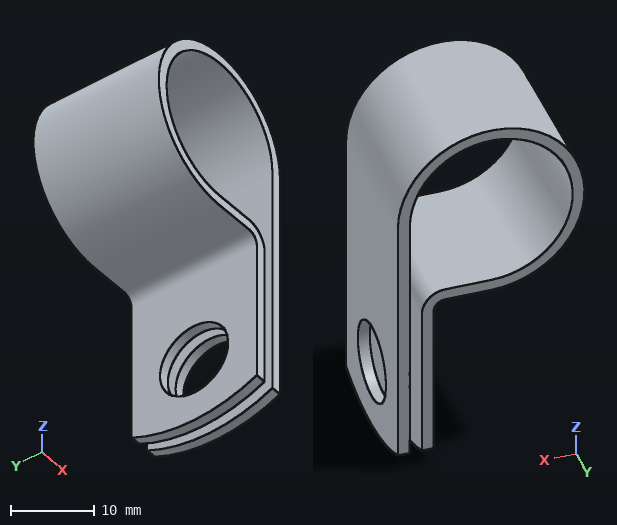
import cadquery as cq
import math

height = 47.55
width = 19.05
loop_diameter = 23.7
thickness = 1.5

leg_gap = 1.5
bend_inner_radius = 1.47
hole_diameter = 10.3
hole_height = 9.5
end_rise = 2.15

loop_radius = loop_diameter / 2
bore_radius = loop_radius - thickness
bottom = loop_radius - height
front_leg_right = bore_radius - leg_gap
front_leg_left = front_leg_right - thickness
bend_outer_radius = bend_inner_radius + thickness
bend_x = front_leg_right - bend_outer_radius
bend_z = -bore_radius - bend_outer_radius
diagonal = math.sqrt(0.5)


def bent_strip():
    """Strip wrapped three quarters around the loop, with two parallel legs."""
    return (
        cq.Workplane("XZ")
        .moveTo(loop_radius, bottom)
        .lineTo(loop_radius, 0)
        .threePointArc((-loop_radius * diagonal, loop_radius * diagonal), (0, -loop_radius))
        .lineTo(bend_x, -loop_radius)
        .threePointArc(
            (bend_x + bend_inner_radius * diagonal, bend_z + bend_inner_radius * diagonal),
            (front_leg_left, bend_z),
        )
        .lineTo(front_leg_left, bottom)
        .lineTo(front_leg_right, bottom)
        .lineTo(front_leg_right, bend_z)
        .threePointArc(
            (bend_x + bend_outer_radius * diagonal, bend_z + bend_outer_radius * diagonal),
            (bend_x, -bore_radius),
        )
        .lineTo(0, -bore_radius)
        .threePointArc((-bore_radius * diagonal, bore_radius * diagonal), (bore_radius, 0))
        .lineTo(bore_radius, bottom)
        .close()
        .extrude(width / 2, both=True)
    )


def rounded_end_envelope():
    """Block along X whose arched underside shapes both leg ends."""
    half_width = width / 2
    return (
        cq.Workplane("YZ")
        .moveTo(-half_width, loop_radius)
        .lineTo(-half_width, bottom + end_rise)
        .threePointArc((0, bottom), (half_width, bottom + end_rise))
        .lineTo(half_width, loop_radius)
        .close()
        .extrude(loop_radius, both=True)
    )


def screw_hole():
    """Cylinder along X that passes through both legs."""
    return (
        cq.Workplane("YZ")
        .center(0, bottom + hole_height)
        .circle(hole_diameter / 2)
        .extrude(loop_radius, both=True)
    )


result = bent_strip().intersect(rounded_end_envelope()).cut(screw_hole())